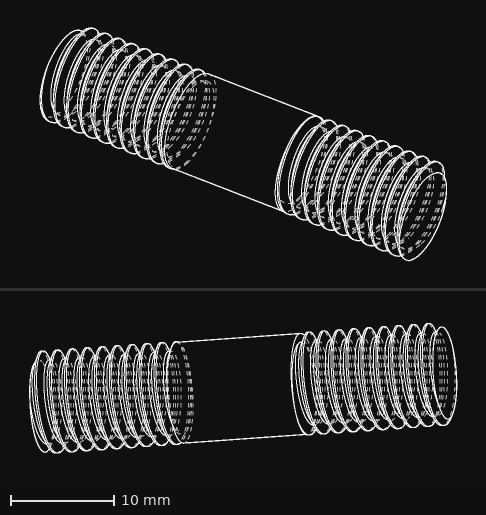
import cadquery as cq
import math

TOTAL_LENGTH = 40.5
THREAD_LENGTH = 14.0
MAJOR_DIAMETER = 10.0
ROOT_DIAMETER = 8.15
SHANK_DIAMETER = 9.85
TURNS_IN_TOTAL_LENGTH = 27
RIDGE_ROOT_WIDTH = 1.17

LEFT_CREST_OFFSET = 0.5
RIGHT_CREST_OFFSET = 0.75

MAJOR_RADIUS = MAJOR_DIAMETER / 2
ROOT_RADIUS = ROOT_DIAMETER / 2
SHANK_LENGTH = TOTAL_LENGTH - 2 * THREAD_LENGTH
PITCH = TOTAL_LENGTH / TURNS_IN_TOTAL_LENGTH
CREST_WIDTH = PITCH / 8
CREST_HALF_WIDTH = CREST_WIDTH / 2
ROOT_HALF_WIDTH = RIDGE_ROOT_WIDTH / 2
SPARE_TURNS = 2
THREAD_TURNS = math.ceil(THREAD_LENGTH / PITCH) + 2 * SPARE_TURNS


def x_cylinder(radius, start, length):
    """Solid cylinder along X."""
    return cq.Workplane("YZ").workplane(offset=start).circle(radius).extrude(length)


def make_shank():
    """Plain cylinder between the two threaded ends."""
    return x_cylinder(SHANK_DIAMETER / 2, THREAD_LENGTH, SHANK_LENGTH)


def make_helix(radius, axial_offset):
    """Right-handed helix round Z, long enough to pass both ends of a threaded length."""
    helix = cq.Wire.makeHelix(PITCH, THREAD_TURNS * PITCH, radius)
    return helix.translate(cq.Vector(0, 0, axial_offset))


def make_ridge():
    """Helical ridge round Z with a trapezoid section, bounded by four ruled strips."""
    corners = [
        (ROOT_RADIUS, -ROOT_HALF_WIDTH),
        (MAJOR_RADIUS, -CREST_HALF_WIDTH),
        (MAJOR_RADIUS, CREST_HALF_WIDTH),
        (ROOT_RADIUS, ROOT_HALF_WIDTH),
    ]
    helices = [make_helix(radius, offset) for radius, offset in corners]
    strips = [
        cq.Face.makeRuledSurface(helices[i - 1], helices[i]).Faces()[0]
        for i in range(len(helices))
    ]
    first_section = cq.Wire.makePolygon([cq.Vector(r, 0, z) for r, z in corners], close=True)
    first_cap = cq.Face.makeFromWires(first_section)
    last_cap = first_cap.translate(cq.Vector(0, 0, THREAD_TURNS * PITCH))
    return cq.Solid.makeSolid(cq.Shell.makeShell([*strips, first_cap, last_cap]))


def make_threaded_end(start, crest_offset):
    """Threaded rod from start along X: a root-diameter core with the ridge cut square at both ends."""
    ridge = (
        cq.Workplane(make_ridge())
        .rotate((0, 0, 0), (0, 1, 0), 90)
        .translate((start + crest_offset - SPARE_TURNS * PITCH, 0, 0))
    )
    trim_cylinder = x_cylinder(MAJOR_DIAMETER, start, THREAD_LENGTH)
    core = x_cylinder(ROOT_RADIUS, start, THREAD_LENGTH)
    return core.union(ridge.intersect(trim_cylinder))


shank = make_shank()
threaded_ends = [
    make_threaded_end(start, crest_offset)
    for start, crest_offset in (
        (0, LEFT_CREST_OFFSET),
        (TOTAL_LENGTH - THREAD_LENGTH, RIGHT_CREST_OFFSET),
    )
]

result = cq.Compound.makeCompound([shank.val(), *(end.solids().val() for end in threaded_ends)])